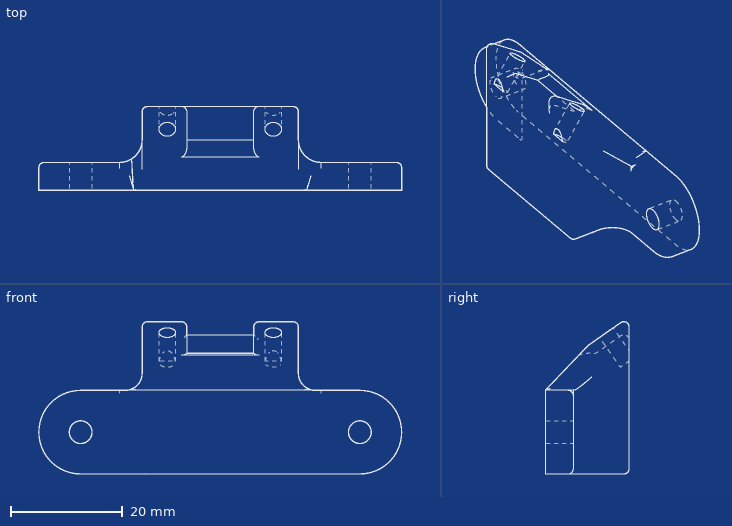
import cadquery as cq
import math

plate_length = 65.0
plate_height = 15.0
plate_thickness = 5.0
plate_hole_diameter = 4.0
plate_hole_spacing = plate_length - plate_height

block_width = 28.0
block_depth = 15.0
total_height = 27.3
bend_y = 7.7
upper_slope = math.radians(35)
edge_radius = 1.0
cheek_overlap = 2 * edge_radius
root_radius = 4.0
top_root_radius = 3.0

notch_width = 11.95
notch_depth = 1.95
notch_floor_end_y = 9.0
notch_mouth_y = 6.0
notch_sill_rise = 0.2

screw_diameter = 3.0
screw_spacing = 19.0
screw_y = 10.9
screw_depth = 6.5

tangent_y = block_depth - edge_radius * (1 + math.sin(upper_slope))
tangent_z = total_height - edge_radius * (1 - math.cos(upper_slope))


def upper_face_z(y):
    return tangent_z + (y - tangent_y) * math.tan(upper_slope)


bend_z = upper_face_z(bend_y)


def lower_face_z(y):
    return plate_height + y * (bend_z - plate_height) / bend_y


def notch_floor_z(y):
    return upper_face_z(y) - notch_depth / math.cos(upper_slope)


def extrude_along_x(points, width):
    """Extrude a (Y, Z) outline, centred on X = 0."""
    return cq.Workplane("YZ").polyline(points).close().extrude(width / 2, both=True)


def make_plate():
    return (
        cq.Workplane("XZ")
        .center(0, plate_height / 2)
        .slot2D(plate_length, plate_height)
        .extrude(-plate_thickness)
    )


def make_core():
    """The block up to the notch floor, whose front sill rolls over to the lower slope."""
    sill_y = (notch_mouth_y + notch_floor_end_y) / 2
    sill_end_z = notch_floor_z(notch_floor_end_y)
    mouth_z = lower_face_z(notch_mouth_y)
    sill = (sill_y, (mouth_z + sill_end_z) / 2 + notch_sill_rise)
    profile = (
        cq.Workplane("YZ")
        .lineTo(block_depth, 0)
        .lineTo(block_depth, notch_floor_z(block_depth))
        .lineTo(notch_floor_end_y, sill_end_z)
        .threePointArc(sill, (notch_mouth_y, mouth_z))
        .lineTo(0, plate_height)
        .close()
    )
    core = profile.extrude(notch_width / 2 + cheek_overlap, both=True)
    return core.faces(">Y").edges(">Z").fillet(edge_radius)


def make_side(side):
    """Full-height side wall of the block with its root, rounded on all exposed edges."""
    outline = [
        (0, 0),
        (block_depth, 0),
        (block_depth, upper_face_z(block_depth)),
        (bend_y, bend_z),
        (0, plate_height),
    ]
    cheek = extrude_along_x(outline, (block_width - notch_width) / 2)
    cheek = cheek.translate(((block_width + notch_width) / 4, 0, 0))
    cheek = cheek.union(make_root())

    upper_normal = cq.Vector(0, -math.sin(upper_slope), math.cos(upper_slope))
    upper_face = cheek.faces(cq.selectors.DirectionSelector(upper_normal))
    exposed_edges = (
        cheek.faces("<X").edges("not(<Y or <Z)")
        .add(cheek.faces(">Y").edges("not <Z"))
        .add(upper_face.edges("not |X"))
        .add(cheek.edges("%ELLIPSE"))
    )
    rounded = exposed_edges.fillet(edge_radius)
    return rounded if side > 0 else rounded.mirror("YZ")


def make_root():
    """Concave blend from the block side onto the back and the top edge of the plate."""
    wall_x = block_width / 2
    inner_x = wall_x - cheek_overlap
    back_end_y = plate_thickness + root_radius
    flare_top_z = plate_height + top_root_radius
    arc_inset = 1 - math.sqrt(0.5)
    plan = (
        cq.Workplane("XY")
        .moveTo(inner_x, 0)
        .lineTo(wall_x + root_radius, 0)
        .lineTo(wall_x + root_radius, plate_thickness)
        .threePointArc(
            (wall_x + arc_inset * root_radius, plate_thickness + arc_inset * root_radius),
            (wall_x, back_end_y),
        )
        .lineTo(inner_x, back_end_y)
        .close()
        .extrude(flare_top_z)
    )
    elevation = (
        cq.Workplane("XZ")
        .moveTo(inner_x, 0)
        .lineTo(wall_x + root_radius, 0)
        .lineTo(wall_x + root_radius, plate_height)
        .lineTo(wall_x + top_root_radius, plate_height)
        .threePointArc(
            (wall_x + arc_inset * top_root_radius, plate_height + arc_inset * top_root_radius),
            (wall_x, flare_top_z),
        )
        .lineTo(inner_x, flare_top_z)
        .close()
        .extrude(-back_end_y)
    )
    under_slope = extrude_along_x(
        [(0, 0), (block_depth, 0), (block_depth, lower_face_z(block_depth)), (0, plate_height)],
        plate_length,
    )
    root = plan.intersect(elevation).intersect(under_slope)
    return root


def screw_hole_cutter(side):
    direction = cq.Vector(0, math.sin(upper_slope), -math.cos(upper_slope))
    start = cq.Vector(side * screw_spacing / 2, screw_y, upper_face_z(screw_y))
    above = start - direction * (screw_diameter / 2)
    length = screw_depth + screw_diameter / 2
    return cq.Workplane(cq.Solid.makeCylinder(screw_diameter / 2, length, above, direction))


def keep_heights(solid, bottom_z, top_z):
    """Keep the part of a solid between two heights."""
    slab = (
        cq.Workplane("XY")
        .workplane(offset=bottom_z)
        .rect(2 * plate_length, 2 * plate_length)
        .extrude(top_z - bottom_z)
    )
    return solid.intersect(slab)


sides = [make_side(-1), make_side(1)]

body = make_plate().union(make_core())
for side_wall in sides:
    body = body.union(keep_heights(side_wall, 0, plate_height))
body = body.faces("<Z").edges(">Y").fillet(edge_radius)

for side_wall in sides:
    body = body.union(keep_heights(side_wall, plate_height / 2, total_height))

plate_holes = (
    cq.Workplane("XZ")
    .pushPoints([(side * plate_hole_spacing / 2, plate_height / 2) for side in (-1, 1)])
    .circle(plate_hole_diameter / 2)
    .extrude(-plate_thickness)
)
body = body.cut(plate_holes)
for side in (-1, 1):
    body = body.cut(screw_hole_cutter(side))

result = body